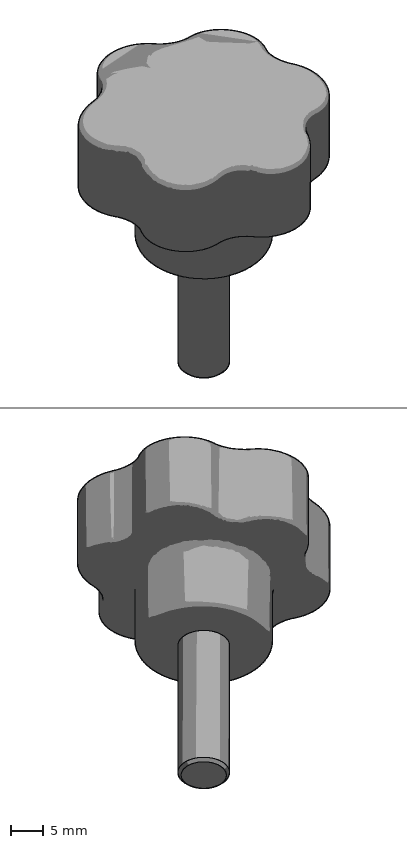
import cadquery as cq
import math

lobe_count = 6
lobe_radius = 7.0
lobe_center_radius = 13.0
valley_radius = 5.0
head_edge_fillet = 1.0
underside_edge_fillet = 0.7

dome_apex_z = 28.0
dome_sphere_radius = 100.0
underside_apex_z = 11.52
underside_sphere_radius = 150.0

hub_diameter = 21.3
hub_bottom_fillet = 1.0
hub_head_fillet = 1.5
stud_diameter = 8.0
stud_length = 24.85
stud_chamfer = 0.5

half_pitch = math.pi / lobe_count
valley_center_radius = lobe_center_radius * math.cos(half_pitch) + math.sqrt(
    (lobe_radius + valley_radius) ** 2 - (lobe_center_radius * math.sin(half_pitch)) ** 2
)
lobe_tip_radius = lobe_center_radius + lobe_radius
valley_floor_radius = valley_center_radius - valley_radius


def polar(radius, angle):
    return (radius * math.cos(angle), radius * math.sin(angle))


def tangent_point(lobe_angle, valley_angle):
    """Point where a lobe arc meets the neighbouring valley arc."""
    lobe_x, lobe_y = polar(lobe_center_radius, lobe_angle)
    valley_x, valley_y = polar(valley_center_radius, valley_angle)
    share = lobe_radius / (lobe_radius + valley_radius)
    return (lobe_x + share * (valley_x - lobe_x), lobe_y + share * (valley_y - lobe_y))


def star_outline():
    """Closed outline with one lobe pointing along +Y."""
    first_lobe = math.pi / 2
    outline = cq.Workplane("XY").moveTo(*tangent_point(first_lobe, first_lobe - half_pitch))
    for index in range(lobe_count):
        lobe_angle = first_lobe + 2 * half_pitch * index
        valley_angle = lobe_angle + half_pitch
        next_lobe = valley_angle + half_pitch
        outline = outline.threePointArc(
            polar(lobe_tip_radius, lobe_angle), tangent_point(lobe_angle, valley_angle)
        )
        outline = outline.threePointArc(
            polar(valley_floor_radius, valley_angle), tangent_point(next_lobe, valley_angle)
        )
    return outline.close()


def ball(radius, center_z):
    return cq.Workplane("XY").sphere(radius).translate((0, 0, center_z))


def make_head():
    """Star prism with a shallow spherical dome on its top and its underside."""
    head = star_outline().extrude(dome_apex_z)
    head = head.intersect(ball(dome_sphere_radius, dome_apex_z - dome_sphere_radius))
    head = head.intersect(ball(underside_sphere_radius, underside_apex_z + underside_sphere_radius))
    head = head.faces(">Z").edges().fillet(head_edge_fillet)
    return head.faces("<Z").edges().fillet(underside_edge_fillet)


def make_hub():
    hub_height = (underside_apex_z + dome_apex_z) / 2
    hub = cq.Workplane("XY").circle(hub_diameter / 2).extrude(hub_height)
    return hub.faces("<Z").edges().fillet(hub_bottom_fillet)


def make_stud():
    stud = cq.Workplane("XY").circle(stud_diameter / 2).extrude(-stud_length)
    return stud.faces("<Z").edges().chamfer(stud_chamfer)


def fillet_hub_to_head(knob):
    """Round the inside corner where the hub meets the underside of the head."""
    half_width = hub_diameter / 2 + hub_head_fillet
    corner_box = cq.selectors.BoxSelector(
        (-half_width, -half_width, underside_apex_z - hub_head_fillet),
        (half_width, half_width, underside_apex_z + hub_head_fillet),
        boundingbox=True,
    )
    return knob.edges(corner_box).fillet(hub_head_fillet)


knob = make_head().union(make_hub())
knob = fillet_hub_to_head(knob)
result = knob.union(make_stud())